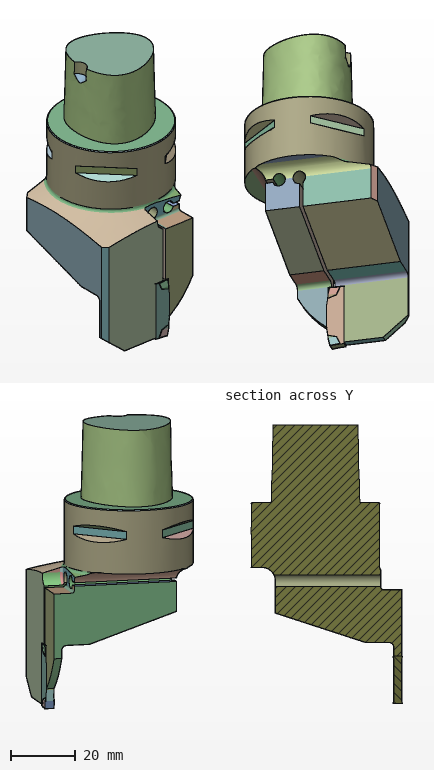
import cadquery as cq
import math

SHANK_HEIGHT = 24.0
SHANK_MEAN_RADIUS = 14.1
SHANK_LOBE = 0.9
SHANK_TAPER = 1 / 40

NOTCH_RADIUS = 3.1
NOTCH_DEPTH = 4.2
NOTCH_TIP = 2.6
NOTCH_CENTRE_Y = -13.7

FLANGE_RADIUS = 20.0
FLANGE_HEIGHT = 20.2
FLANGE_CHAMFER = 0.3
GROOVE_COUNT = 4
GROOVE_FLAT_DISTANCE = 17.6
GROOVE_CENTRE_Z = -8.05
GROOVE_FLAT_HEIGHT = 2.4
GROOVE_WALL_ANGLE = 30.0

BLOCK_LEFT = -12.5
BLOCK_RIGHT = 26.7
BLOCK_FRONT = -25.0
BLOCK_BACK = 10.6
BLOCK_CORNER = 1.6
BLOCK_LEFT_BOTTOM = -34.3
BLOCK_BOTTOM = -43.4
SLOPE_END_X = 15.4
FLARE_RADIUS = 4.0

ROOF_ANGLE = 15.0
ROOF_START_Z = -21.1
ROOF_FILLET = 1.0
ROOF_REACH = 40.0

BLADE_THICKNESS = 2.5
BLADE_LEFT = BLOCK_RIGHT - BLADE_THICKNESS
BLADE_BOTTOM = -64.3
BLADE_FILLET = 1.5
BLADE_CHAMFER_Y = 8.0
BLADE_CHAMFER_Z = 6.6
FINGER_CURVE_START_Z = -47.4
FINGER_CURVE_MID = (5.8, -54.3)
FINGER_TIP = (1.2, -58.5)

RELIEF_RADIUS = 2.0
RELIEF_Z = -24.3
RELIEF_BACK_Y = 6.2
RELIEF_FRONT_Y = -0.3
SLOT_WIDTH = 1.1
FINGER_SLOT_Y = -0.95

POCKET_LEFT = 20.2
POCKET_FRONT = -3.75
POCKET_FLOOR = -27.0
POCKET_ROUND = 4.0
POCKET_WALL_FILLET = 0.8

INSERT_LENGTH = 20.0
INSERT_TOP = -45.0
INSERT_MIDDLE = INSERT_TOP - INSERT_LENGTH / 2
INSERT_FRONT = -4.4
INSERT_BELLY_Y = 1.2
INSERT_BELLY_HALF = 4.0
INSERT_NECK_Y = 0.67
INSERT_NECK_HALF = 7.6
INSERT_TIP_Y = 0.12
INSERT_END_RELIEF = 0.2
HEAD_WIDTH = 3.0
HEAD_BORDER = [(-3.15, 9.7), (-2.0, 7.2), (0.85, 6.3)]
HEAD_RAMP_END = 7.4


def shank_section(z):
    """Three-lobed trochoid at height z, closed."""
    radius = SHANK_MEAN_RADIUS - SHANK_TAPER * z

    def point(t):
        angle = 2 * math.pi * t
        x = radius * math.sin(angle) - SHANK_LOBE * math.sin(2 * angle)
        y = radius * math.cos(angle) + SHANK_LOBE * math.cos(2 * angle)
        return (x, y, 0)

    return cq.Workplane().workplane(offset=z).parametricCurve(point, N=60).val()


def make_shank():
    sections = [shank_section(0), shank_section(SHANK_HEIGHT)]
    shank = cq.Workplane(cq.Solid.makeLoft(sections))
    floor_z = SHANK_HEIGHT - NOTCH_DEPTH
    notch = (
        cq.Workplane("XZ")
        .moveTo(0, SHANK_HEIGHT)
        .lineTo(NOTCH_RADIUS, SHANK_HEIGHT)
        .lineTo(NOTCH_RADIUS, floor_z)
        .lineTo(0, floor_z - NOTCH_TIP)
        .close()
        .revolve()
        .translate((0, NOTCH_CENTRE_Y, 0))
    )
    return shank.cut(notch)


def make_flange():
    flange = (
        cq.Workplane()
        .circle(FLANGE_RADIUS)
        .extrude(-FLANGE_HEIGHT)
        .faces(">Z")
        .chamfer(FLANGE_CHAMFER)
    )
    inner = GROOVE_FLAT_HEIGHT / 2
    outer_x = FLANGE_RADIUS + 1
    outer = inner + (outer_x - GROOVE_FLAT_DISTANCE) * math.tan(math.radians(GROOVE_WALL_ANGLE))
    groove = (
        cq.Workplane("XZ")
        .polyline([
            (GROOVE_FLAT_DISTANCE, -inner),
            (outer_x, -outer),
            (outer_x, outer),
            (GROOVE_FLAT_DISTANCE, inner),
        ])
        .close()
        .extrude(FLANGE_RADIUS, both=True)
        .translate((0, 0, GROOVE_CENTRE_Z))
    )
    step = 360 / GROOVE_COUNT
    for i in range(GROOVE_COUNT):
        flange = flange.cut(groove.rotate((0, 0, 0), (0, 0, 1), step * (i + 0.5)))
    return flange


def make_roof_envelope():
    """Solid of revolution under the conical roof, blended into the flange wall."""
    slope = math.radians(ROOF_ANGLE)
    tangent = ROOF_FILLET * math.tan((math.pi / 2 - slope) / 2)
    rim_z = ROOF_START_Z - (ROOF_REACH - FLANGE_RADIUS) * math.tan(slope)
    return (
        cq.Workplane("XZ")
        .moveTo(0, -FLANGE_HEIGHT / 2)
        .lineTo(FLANGE_RADIUS, -FLANGE_HEIGHT / 2)
        .lineTo(FLANGE_RADIUS, ROOF_START_Z + tangent)
        .tangentArcPoint(
            (FLANGE_RADIUS + tangent * math.cos(slope), ROOF_START_Z - tangent * math.sin(slope)),
            relative=False,
        )
        .lineTo(ROOF_REACH, rim_z)
        .lineTo(ROOF_REACH, BLADE_BOTTOM)
        .lineTo(0, BLADE_BOTTOM)
        .close()
        .revolve()
    )


def make_front_profile():
    """Block and blade outline in XZ, with the flared left wall."""
    flare_z = -FLANGE_HEIGHT - FLARE_RADIUS
    return (
        cq.Workplane("XZ", origin=(0, BLOCK_FRONT, 0))
        .moveTo(BLOCK_RIGHT, -FLANGE_HEIGHT)
        .lineTo(BLOCK_LEFT - FLARE_RADIUS, -FLANGE_HEIGHT)
        .radiusArc((BLOCK_LEFT, flare_z), FLARE_RADIUS)
        .lineTo(BLOCK_LEFT, BLOCK_LEFT_BOTTOM)
        .lineTo(SLOPE_END_X, BLOCK_BOTTOM)
        .lineTo(BLADE_LEFT - BLADE_FILLET, BLOCK_BOTTOM)
        .radiusArc((BLADE_LEFT, BLOCK_BOTTOM - BLADE_FILLET), BLADE_FILLET)
        .lineTo(BLADE_LEFT, BLADE_BOTTOM)
        .lineTo(BLOCK_RIGHT, BLADE_BOTTOM)
        .close()
        .extrude(-(BLOCK_BACK + FLARE_RADIUS - BLOCK_FRONT))
    )


def make_side_profile():
    """Block and blade outline in YZ, with the flared back wall and the finger's curve."""
    flare_z = -FLANGE_HEIGHT - FLARE_RADIUS
    return (
        cq.Workplane("YZ", origin=(BLOCK_LEFT - FLARE_RADIUS, 0, 0))
        .moveTo(BLOCK_FRONT, -FLANGE_HEIGHT)
        .lineTo(BLOCK_BACK + FLARE_RADIUS, -FLANGE_HEIGHT)
        .radiusArc((BLOCK_BACK, flare_z), -FLARE_RADIUS)
        .lineTo(BLOCK_BACK, FINGER_CURVE_START_Z)
        .threePointArc(FINGER_CURVE_MID, FINGER_TIP)
        .lineTo(INSERT_FRONT, FINGER_TIP[1])
        .lineTo(INSERT_FRONT, BLADE_BOTTOM)
        .lineTo(BLOCK_FRONT + BLADE_CHAMFER_Y, BLADE_BOTTOM)
        .lineTo(BLOCK_FRONT, BLADE_BOTTOM + BLADE_CHAMFER_Z)
        .close()
        .extrude(BLOCK_RIGHT - BLOCK_LEFT + FLARE_RADIUS)
    )


def make_plan_outline():
    """Plan outline of the block with its two chamfered front corners."""
    left = BLOCK_LEFT - FLARE_RADIUS
    return (
        cq.Workplane(origin=(0, 0, BLADE_BOTTOM))
        .polyline([
            (left, BLOCK_BACK + FLARE_RADIUS),
            (left, BLOCK_FRONT + BLOCK_CORNER + FLARE_RADIUS),
            (BLOCK_LEFT, BLOCK_FRONT + BLOCK_CORNER),
            (BLOCK_LEFT + BLOCK_CORNER, BLOCK_FRONT),
            (BLOCK_RIGHT - BLOCK_CORNER, BLOCK_FRONT),
            (BLOCK_RIGHT, BLOCK_FRONT + BLOCK_CORNER),
            (BLOCK_RIGHT, BLOCK_BACK + FLARE_RADIUS),
        ])
        .close()
        .extrude(-BLADE_BOTTOM)
    )


def make_block():
    block = make_front_profile().intersect(make_side_profile())
    return block.intersect(make_plan_outline()).intersect(make_roof_envelope())


def make_pocket():
    width = BLOCK_RIGHT - POCKET_LEFT
    depth = BLOCK_BACK + FLARE_RADIUS - POCKET_FRONT
    corner = (POCKET_LEFT, POCKET_FRONT, POCKET_FLOOR)
    pocket = cq.Workplane(origin=corner).box(width, depth, -POCKET_FLOOR - FLANGE_HEIGHT, centered=False)
    pocket = pocket.edges("<Y and <Z").fillet(POCKET_ROUND)
    return pocket.edges("<X and <Z").fillet(POCKET_WALL_FILLET)


def along_x(y, z):
    """Workplane looking along X, centred at (y, z), left of the whole block."""
    return cq.Workplane("YZ", origin=(BLOCK_LEFT - FLARE_RADIUS, y, z))


def cut_finger_slots(body):
    reach = BLOCK_RIGHT - BLOCK_LEFT + FLARE_RADIUS
    for y in (RELIEF_BACK_Y, RELIEF_FRONT_Y):
        body = body.cut(along_x(y, RELIEF_Z).circle(RELIEF_RADIUS).extrude(reach))

    back_length = BLOCK_BACK + FLARE_RADIUS - RELIEF_BACK_Y
    back_y = RELIEF_BACK_Y + back_length / 2
    body = body.cut(along_x(back_y, RELIEF_Z).rect(back_length, SLOT_WIDTH).extrude(reach))

    drop = RELIEF_Z - INSERT_TOP
    slot = along_x(FINGER_SLOT_Y, RELIEF_Z - drop / 2).rect(SLOT_WIDTH, drop).extrude(reach)
    return body.cut(slot)


def make_seat():
    """Space for the insert between the blade and the finger, open at the bottom."""
    belly_top = INSERT_MIDDLE + INSERT_BELLY_HALF
    neck_top = INSERT_MIDDLE + INSERT_NECK_HALF
    return (
        cq.Workplane("YZ", origin=(BLADE_LEFT - BLADE_FILLET, 0, 0))
        .polyline([
            (INSERT_FRONT, INSERT_TOP),
            (INSERT_NECK_Y, INSERT_TOP),
            (INSERT_NECK_Y, neck_top),
            (INSERT_BELLY_Y, belly_top),
            (INSERT_BELLY_Y, BLADE_BOTTOM),
            (INSERT_FRONT, BLADE_BOTTOM),
        ])
        .close()
        .extrude(BLADE_THICKNESS + BLADE_FILLET)
    )


def make_holder():
    block = make_block().cut(make_pocket())
    holder = make_flange().union(make_shank()).union(block)
    return cut_finger_slots(holder).cut(make_seat())


def make_insert_head(end):
    """Wider cutting head at the top (end = 1) or at the bottom (end = -1) of the insert."""
    half = INSERT_LENGTH / 2
    outline = [(INSERT_NECK_Y, INSERT_NECK_HALF), (INSERT_TIP_Y, half)] + HEAD_BORDER
    middle_x = BLADE_LEFT + BLADE_THICKNESS / 2
    head = (
        cq.Workplane("YZ", origin=(middle_x, 0, INSERT_MIDDLE))
        .polyline([(y, end * z) for y, z in outline])
        .close()
        .extrude(HEAD_WIDTH / 2, both=True)
    )
    ramp_start = HEAD_BORDER[-1][1]
    right_edge = [
        (BLADE_THICKNESS / 2, ramp_start),
        (HEAD_WIDTH / 2, HEAD_RAMP_END),
        (HEAD_WIDTH / 2, half),
    ]
    left_edge = [(-x, z) for x, z in reversed(right_edge)]
    ramp = (
        cq.Workplane("XZ", origin=(middle_x, 0, INSERT_MIDDLE))
        .polyline([(x, end * z) for x, z in right_edge + left_edge])
        .close()
        .extrude(-INSERT_FRONT + INSERT_BELLY_Y, both=True)
    )
    return head.intersect(ramp)


def make_insert():
    half = INSERT_LENGTH / 2
    upper = [
        (INSERT_FRONT, half - INSERT_END_RELIEF),
        (INSERT_TIP_Y, half),
        (INSERT_NECK_Y, INSERT_NECK_HALF),
        (INSERT_BELLY_Y, INSERT_BELLY_HALF),
    ]
    lower = [(y, -z) for y, z in reversed(upper)]
    insert = (
        cq.Workplane("YZ", origin=(BLADE_LEFT, 0, INSERT_MIDDLE))
        .polyline(upper + lower)
        .close()
        .extrude(BLADE_THICKNESS)
    )
    for end in (1, -1):
        insert = insert.union(make_insert_head(end))
    return insert


holder = make_holder()
insert = make_insert()

result = cq.Compound.makeCompound([holder.val(), insert.val()])